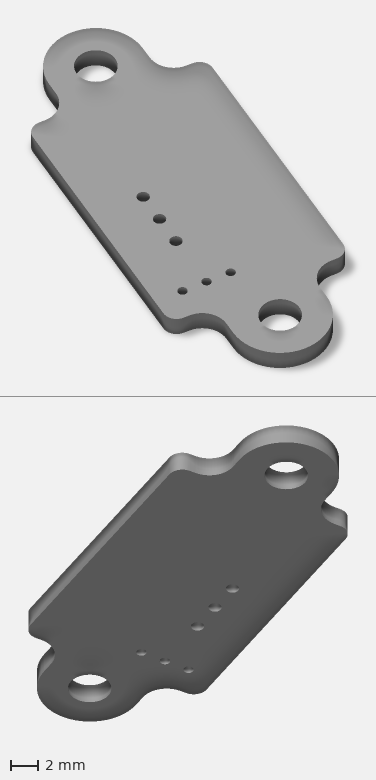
import cadquery as cq

length = 36.45
thickness = 1.6

body_length = 22.52
body_width = 14.98
corner_radius = 1.1

ear_radius = 3.9
mount_hole_x = 14.35
neck_radius = 2.0
mount_hole_diameter = 3.2

row_hole_diameter = 1.0
row_pitch = 2.55
row_center = (1.55, -3.2)

column_hole_diameter = 0.75
column_pitch = 2.0
column_center = (8.82, -3.17)

holes_per_group = 3


def make_plate():
    """Central body joined to a full-length rounded strip that forms both ears."""
    body = (
        cq.Workplane("XY")
        .rect(body_length, body_width)
        .extrude(thickness)
        .edges("|Z")
        .fillet(corner_radius)
    )
    ears = cq.Workplane("XY").slot2D(length, 2 * ear_radius).extrude(thickness)
    return body.union(ears)


def round_necks(plate):
    """Fillet the four inside corners where the ears meet the body."""
    neck_corners = (
        cq.Workplane("XY")
        .rect(body_length, 2 * ear_radius, forConstruction=True)
        .vertices()
        .vals()
    )
    for corner in neck_corners:
        nearest_edge = cq.selectors.NearestToPointSelector((corner.X, corner.Y, thickness / 2))
        plate = plate.edges("|Z").edges(nearest_edge).fillet(neck_radius)
    return plate


def drill(plate, centers, diameter):
    """Cut round holes through the full thickness."""
    holes = cq.Workplane("XY").pushPoints(centers).circle(diameter / 2).extrude(thickness)
    return plate.cut(holes)


def centered_offsets(pitch):
    """Evenly spaced positions centered on zero."""
    middle = (holes_per_group - 1) / 2
    return [(index - middle) * pitch for index in range(holes_per_group)]


mount_holes = [(-mount_hole_x, 0), (mount_hole_x, 0)]
row_holes = [(row_center[0] + offset, row_center[1]) for offset in centered_offsets(row_pitch)]
column_holes = [
    (column_center[0], column_center[1] + offset) for offset in centered_offsets(column_pitch)
]

result = round_necks(make_plate())
result = drill(result, mount_holes, mount_hole_diameter)
result = drill(result, row_holes, row_hole_diameter)
result = drill(result, column_holes, column_hole_diameter)